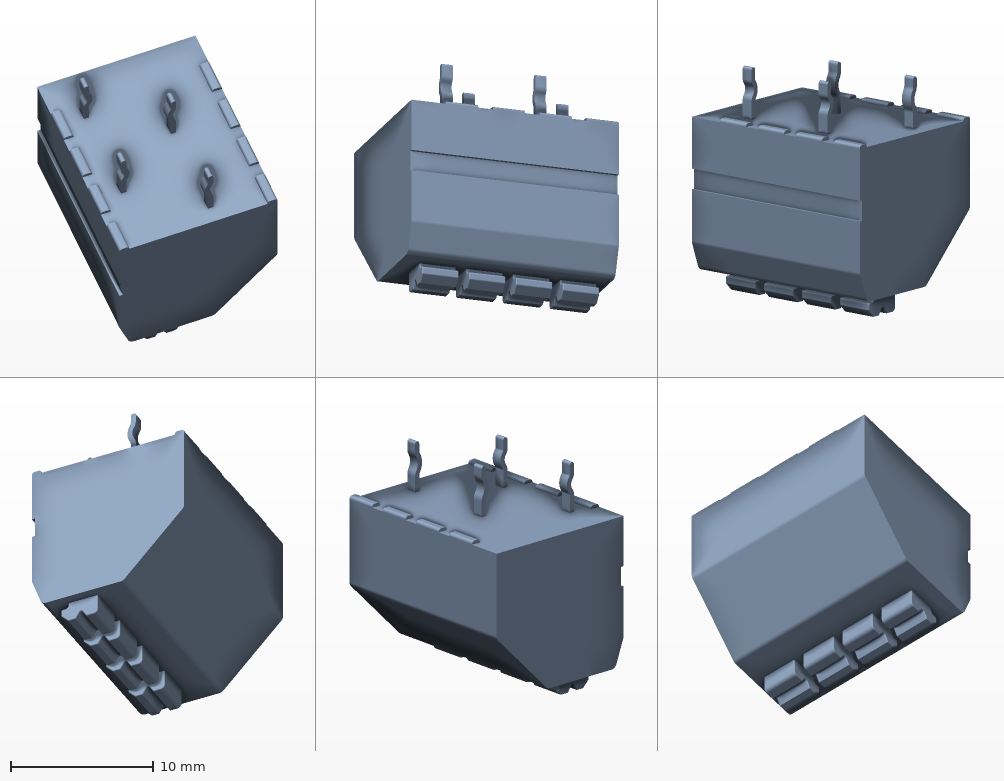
import cadquery as cq
import math


LENGTH = 15.5
DEPTH = 12.0
TOTAL_HEIGHT = 16.43
FOOT_HEIGHT = 1.48
PIN_HEIGHT = 3.75
BOTTOM_Z = FOOT_HEIGHT
TOP_Z = TOTAL_HEIGHT - PIN_HEIGHT
BACK_BEVEL = 4.83
FRONT_BEVEL_HEIGHT = 2.15
FRONT_BEVEL_ANGLE = 20.0
HOUSING_RADIUS = 0.5

GROOVE_HEIGHT = 1.5
GROOVE_DEPTH = 0.25
GROOVE_DROP = 3.75

POLE_COUNT = 4
PITCH = 3.5

PAD_LENGTH = 2.4
PAD_WIDTH = 0.75
PAD_HEIGHT = 0.25
PAD_RADIUS = 0.23
FIRST_PAD_X = LENGTH - PAD_LENGTH - (POLE_COUNT - 1) * PITCH

PIN_WIDTH = 0.82
PIN_THICKNESS = 0.4
PIN_BUMP = 0.26
PIN_BUMP_Z = 14.77
FIRST_PIN_X = 3.4
FRONT_PIN_Y = 2.2
BACK_PIN_Y = 7.4
FRONT_BEND_RADIUS = 0.36
FRONT_BUMP_RADIUS = 0.84
BACK_BEND_RADIUS = 0.69
BACK_BUMP_RADIUS = 1.15

LEVER_LENGTH = 2.73
FIRST_LEVER_X = 2.86
LEVER_BACK_Y = 4.78
LEVER_NECK_Y = 2.48
LEVER_LIP_Y = 1.9
LIP_TOP_Z = 1.08
LIP_BOTTOM_Z = 0.55
NOTCH_Y = 3.45
NOTCH_WIDTH = 0.85
NOTCH_HEIGHT = 0.65
LEVER_BACK_RADIUS = 0.33
LIP_RADIUS = 0.13
NECK_RADIUS = 0.25
NOTCH_RADIUS = 0.15
LEVER_EDGE_RADIUS = 0.08
LEVER_EMBED = 0.33


def extrude_outline(points, length):
    """Extrude a closed (Y, Z) outline from X = 0 towards +X."""
    return cq.Workplane("YZ").polyline(points).close().extrude(length)


def round_edge(solid, length, corner, radius):
    """Round the X-parallel edge standing on one (Y, Z) corner of an extruded outline."""
    nearest = cq.selectors.NearestToPointSelector((length / 2, corner[0], corner[1]))
    return solid.edges("|X").edges(nearest).fillet(radius)


def make_housing():
    front_bevel_depth = FRONT_BEVEL_HEIGHT * math.tan(math.radians(FRONT_BEVEL_ANGLE))
    bevel_corners = [
        (0, BOTTOM_Z + FRONT_BEVEL_HEIGHT),
        (front_bevel_depth, BOTTOM_Z),
        (DEPTH - BACK_BEVEL, BOTTOM_Z),
        (DEPTH, BOTTOM_Z + BACK_BEVEL),
    ]
    housing = extrude_outline(bevel_corners + [(DEPTH, TOP_Z), (0, TOP_Z)], LENGTH)
    for corner in bevel_corners:
        housing = round_edge(housing, LENGTH, corner, HOUSING_RADIUS)

    groove_bottom = TOP_Z - GROOVE_DROP - GROOVE_HEIGHT
    groove = cq.Workplane("XY").box(LENGTH, GROOVE_DEPTH, GROOVE_HEIGHT, centered=False)
    return housing.cut(groove.translate((0, 0, groove_bottom)))


def make_pad():
    pad = cq.Workplane("XY").box(PAD_LENGTH, PAD_WIDTH, PAD_HEIGHT, centered=False)
    return pad.edges("|X and >Z").fillet(PAD_RADIUS).translate((0, 0, TOP_Z))


def make_pin(bend_radius, bump_radius, direction):
    """Flat pin centred on X = 0, Y = 0, bulging along Y by direction (+1 or -1)."""
    half = PIN_THICKNESS / 2
    bend_angle = math.acos(1 - PIN_BUMP / (bend_radius + bump_radius))
    bump_centre_y = PIN_BUMP - bump_radius
    tip_z = TOTAL_HEIGHT - half
    bump_half_height = (bend_radius + bump_radius) * math.sin(bend_angle)

    def face_points(offset):
        """Bend start, bend end, upper bend start and upper bend end on one face."""
        face_radius = bump_radius + offset
        y = bump_centre_y + face_radius * math.cos(bend_angle)
        rise = face_radius * math.sin(bend_angle)
        return [
            (direction * offset, PIN_BUMP_Z - bump_half_height),
            (direction * y, PIN_BUMP_Z - rise),
            (direction * y, PIN_BUMP_Z + rise),
            (direction * offset, PIN_BUMP_Z + bump_half_height),
        ]

    inner = face_points(-half)
    outer = face_points(half)[::-1]
    profile = cq.Workplane("YZ").moveTo(-direction * half, TOP_Z).lineTo(*inner[0])
    for point in inner[1:]:
        profile = profile.tangentArcPoint(point, relative=False)
    profile = profile.lineTo(-direction * half, tip_z)
    profile = profile.tangentArcPoint((direction * half, tip_z), relative=False)
    profile = profile.lineTo(*outer[0])
    for point in outer[1:]:
        profile = profile.tangentArcPoint(point, relative=False)
    profile = profile.lineTo(direction * half, TOP_Z).close()
    return profile.extrude(PIN_WIDTH / 2, both=True)


def make_lever():
    """Lever centred on X = 0, reaching a little into the housing."""
    root_z = BOTTOM_Z + LEVER_EMBED
    back_corner = (LEVER_BACK_Y, 0)
    notch_peak = (NOTCH_Y, NOTCH_HEIGHT)
    lip_bottom = (LEVER_LIP_Y, LIP_BOTTOM_Z)
    lip_top = (LEVER_LIP_Y, LIP_TOP_Z)
    neck = (LEVER_NECK_Y, LIP_TOP_Z)
    outline = [
        (LEVER_BACK_Y, root_z),
        back_corner,
        (NOTCH_Y + NOTCH_WIDTH / 2, 0),
        notch_peak,
        (NOTCH_Y - NOTCH_WIDTH / 2, 0),
        (LEVER_LIP_Y + LIP_BOTTOM_Z, 0),
        lip_bottom,
        lip_top,
        neck,
        (LEVER_NECK_Y, root_z),
    ]
    lever = extrude_outline(outline, LEVER_LENGTH)
    rounded_corners = [
        (back_corner, LEVER_BACK_RADIUS),
        (notch_peak, NOTCH_RADIUS),
        (lip_bottom, LIP_RADIUS),
        (lip_top, LIP_RADIUS),
        (neck, NECK_RADIUS),
    ]
    for corner, radius in rounded_corners:
        lever = round_edge(lever, LEVER_LENGTH, corner, radius)
    lever = lever.faces("<X or >X").edges().fillet(LEVER_EDGE_RADIUS)
    return lever.translate((-LEVER_LENGTH / 2, 0, 0))


result = make_housing()
pad = make_pad()
lever = make_lever()
front_pin = make_pin(FRONT_BEND_RADIUS, FRONT_BUMP_RADIUS, 1).translate((0, FRONT_PIN_Y, 0))
back_pin = make_pin(BACK_BEND_RADIUS, BACK_BUMP_RADIUS, -1).translate((0, BACK_PIN_Y, 0))

for pole in range(POLE_COUNT):
    shift = pole * PITCH
    pin = front_pin if pole % 2 == 0 else back_pin
    result = result.union(pad.translate((FIRST_PAD_X + shift, 0, 0)))
    result = result.union(pad.translate((FIRST_PAD_X + shift, DEPTH - PAD_WIDTH, 0)))
    result = result.union(pin.translate((FIRST_PIN_X + shift, 0, 0)))
    result = result.union(lever.translate((FIRST_LEVER_X + shift, 0, 0)))